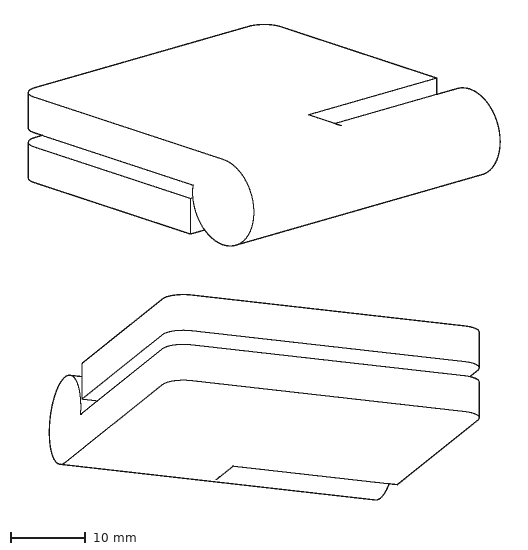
import cadquery as cq

length = 46.0
width = 45.0
barrel_diameter = 12.0

leaf_thickness = 5.0
corner_radius = 3.0
notch_edge = 33.6
knuckle_clearance = 1.85

barrel_radius = barrel_diameter / 2
barrel_x = length - barrel_radius
tab_width = (width - knuckle_clearance) / 2


def leaf(bottom_z, tab_start_y):
    """Flat leaf with rounded free corners and a tab reaching the barrel axis."""
    plate = (
        cq.Workplane("XY", origin=(0, 0, bottom_z))
        .rect(notch_edge, width)
        .extrude(leaf_thickness)
        .edges("|Z and <X")
        .fillet(corner_radius)
        .translate((notch_edge / 2, width / 2, 0))
    )
    tab = cq.Workplane("XY").box(
        barrel_x - notch_edge, tab_width, leaf_thickness, centered=False
    ).translate((notch_edge, tab_start_y, bottom_z))
    return plate.union(tab)


barrel = (
    cq.Workplane("XZ", origin=(barrel_x, 0, barrel_radius))
    .circle(barrel_radius)
    .extrude(-width)
)

upper_leaf = leaf(barrel_diameter - leaf_thickness, 0)
lower_leaf = leaf(0, width - tab_width)

result = barrel.union(upper_leaf).union(lower_leaf)